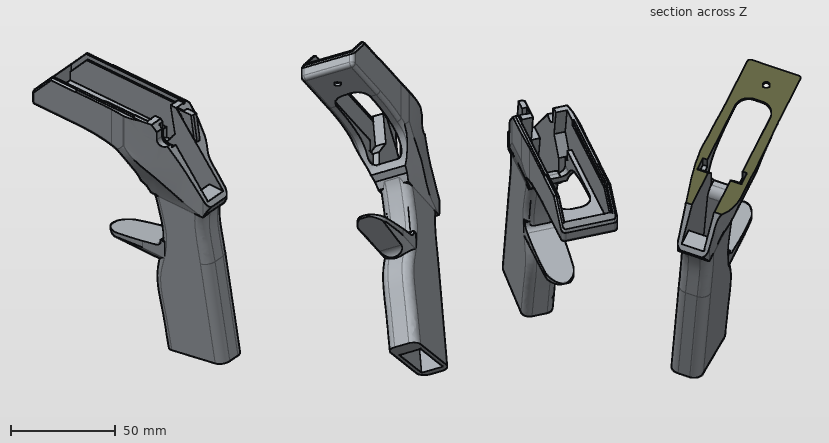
import cadquery as cq
import math

FAR = 200.0
GRIP_LEAN = math.radians(10)

TRAY_HALF_WIDTH = 14.2
TRAY_HEIGHT = 20.6
TRAY_END_X = 50.0
TRAY_NOSE_HEIGHT = 7.2
TRAY_SLOPE_END_X = 12.0
TRAY_EDGE_FILLET = 2.0
RIM_CHAMFER = 1.0
WALL = 3.0
CAVITY_HALF_WIDTH = 11.3
FLOOR_THICKNESS = 1.6
FLOOR_Z = FLOOR_THICKNESS - TRAY_HEIGHT
RABBET_WIDTH = 0.9
RABBET_DEPTH = 2.7
RABBET_END_X = 62.5
SCREW_HOLE_DIAMETER = 3.3
SCREW_HOLE_X = 11.5

SHOULDER_HALF_WIDTH = 28.99 / 2
SHOULDER_START_X = 27.8
SHOULDER_TAPER_Z = -18.0
SHOULDER_BOTTOM_Z = -44.0
SHOULDER_BOTTOM_FRONT_X = 69.7
SHOULDER_BOTTOM_REAR_X = 101.7
BULGE_START_X = 61.8
BULGE_END_X = 76.1
BACK_CORNER_X = 101.6
BACK_CORNER_MIDDLE = (104.3, 6.9)
BACK_CORNER_HALF_WIDTH = 7.9
BACK_END_HALF_WIDTH = 4.5
BACK_TOP_X = 73.7
BACK_END_X = 105.1
BACK_END_Z = -37.6
BACK_SLOPE = BACK_END_Z / (BACK_END_X - BACK_TOP_X)

GRIP_HALF_WIDTH = 8.0
GRIP_TOP_FRONT_X = 67.3
GRIP_TOP_Z = -40.6
GRIP_WAIST = (105.1, -70.7)
GRIP_TOE = (78.3, -130.99)
GRIP_HEEL = (114.36, -124.9)
GRIP_FRONT_FILLET = 4.2
GRIP_REAR_FILLET = 5.0
REST_TIP_X = 38.8
REST_TIP_Z = -80.0
REST_TIP_HEIGHT = 0.8
REST_ROOT_X = 78.0
REST_TOP_FILLET_START = (72.2, -73)
REST_TOP_FILLET_END = (75.4, -69)
REST_BOTTOM_FILLET_START = (71.2, -90)
REST_BOTTOM_FILLET_END = (66.3, -82)
REST_FULL_WIDTH_X = 64.0
REST_BELLY_TOP = 78.5
REST_BELLY_BOTTOM = 84.5

THROAT_HALF_WIDTH = 9.0
FLOOR_SLOT_X = 21.4
FLOOR_SLOT_FILLET = 7.0
FLOOR_END_X = 63.0
BLOCK_TOP_X = 70.2
BLOCK_BOTTOM_Z = -15.6
BLOCK_BOTTOM_X = BLOCK_TOP_X - BLOCK_BOTTOM_Z * math.tan(GRIP_LEAN)
SIDE_POCKET_Z = -25.0
THROAT_FILLET = 4.0
SILL_X = 66.0
SILL_Z = -34.4
CHANNEL_HALF_WIDTH = 5.7
CHANNEL_FRONT = (71.0, -38.0)
STEP_X = 94.4
STEP_Z = -35.2

NOTCH_X = 79.7
NOTCH_Z = -7.6
NOTCH_RADIUS = 3.2
NOTCH_RECESS_RADIUS = 4.8
NOTCH_RECESS_DEPTH = 2.5

PLATE_REAR_X = 83.8
PLATE_REAR_LEAN = 0.15
PLATE_WEB_THICKNESS = 0.6
PLATE_THICKNESS = 3.0
PLATE_STEP_X = 78.1
PLATE_CHAMFER = 0.9


def back_z(x):
    """Height of the sloped back face at x."""
    return BACK_SLOPE * (x - BACK_TOP_X)


def along_y(sketch, y_from, y_to):
    """Solid of a closed XZ sketch between two Y positions."""
    return sketch.extrude(y_from - y_to).translate((0, y_from, 0))


def both_sides(sketch, half_width):
    return along_y(sketch, -half_width, half_width)


def xz():
    return cq.Workplane("XZ")


def make_tray():
    profile = (
        xz()
        .moveTo(0, -TRAY_HEIGHT)
        .lineTo(0, TRAY_NOSE_HEIGHT - TRAY_HEIGHT)
        .lineTo(TRAY_SLOPE_END_X, 0)
        .lineTo(TRAY_END_X, 0)
        .lineTo(TRAY_END_X, -TRAY_HEIGHT)
        .close()
    )
    tray = both_sides(profile, TRAY_HALF_WIDTH)
    tray = tray.edges("<X and |Z").fillet(TRAY_EDGE_FILLET)
    tray = tray.faces("<Z").edges("not(>X)").fillet(TRAY_EDGE_FILLET)
    slope = cq.Vector(TRAY_SLOPE_END_X, 0, TRAY_HEIGHT - TRAY_NOSE_HEIGHT)
    slope_edges = cq.selectors.ParallelDirSelector(slope)
    top_edges = cq.selectors.BoxSelector(
        (TRAY_SLOPE_END_X + 1, -FAR, -0.1), (TRAY_END_X - 1, FAR, 0.1)
    )
    nose_z = TRAY_NOSE_HEIGHT - TRAY_HEIGHT
    nose_edge = cq.selectors.BoxSelector(
        (-0.1, -0.1, nose_z - 0.1), (0.1, 0.1, nose_z + 0.1)
    )
    return tray.edges(slope_edges + top_edges + nose_edge).chamfer(RIM_CHAMFER)


def make_shoulder():
    side_outline = (
        xz()
        .moveTo(SHOULDER_START_X, 0)
        .lineTo(SHOULDER_START_X, -TRAY_HEIGHT)
        .spline([(48, -22.5), (56.4, -25.8), (62.3, -33.2), (64.1, -38.5)],
                tangents=[(1, 0), (0.1, -1)], includeCurrent=True)
        .lineTo(GRIP_TOP_FRONT_X, GRIP_TOP_Z)
        .lineTo(SHOULDER_BOTTOM_FRONT_X, SHOULDER_BOTTOM_Z)
        .lineTo(SHOULDER_BOTTOM_REAR_X, SHOULDER_BOTTOM_Z)
        .lineTo(BACK_END_X, BACK_END_Z)
        .lineTo(BACK_TOP_X, 0)
        .close()
    )
    front_outline = (
        cq.Workplane("YZ")
        .moveTo(RIM_CHAMFER - SHOULDER_HALF_WIDTH, 0)
        .lineTo(SHOULDER_HALF_WIDTH - RIM_CHAMFER, 0)
        .lineTo(SHOULDER_HALF_WIDTH, -RIM_CHAMFER)
        .lineTo(SHOULDER_HALF_WIDTH, SHOULDER_TAPER_Z)
        .spline([(13.6, -26), (10.5, -34.8), (GRIP_HALF_WIDTH, SHOULDER_BOTTOM_Z)],
                tangents=[(0, -1), (-0.15, -1)], includeCurrent=True)
        .lineTo(-GRIP_HALF_WIDTH, SHOULDER_BOTTOM_Z)
        .spline([(-10.5, -34.8), (-13.6, -26), (-SHOULDER_HALF_WIDTH, SHOULDER_TAPER_Z)],
                tangents=[(-0.15, 1), (0, 1)], includeCurrent=True)
        .lineTo(-SHOULDER_HALF_WIDTH, -RIM_CHAMFER)
        .close()
        .extrude(FAR)
    )
    corner_x, corner_y = BACK_CORNER_MIDDLE
    plan_outline = (
        cq.Workplane("XY")
        .moveTo(SHOULDER_START_X, -TRAY_HALF_WIDTH)
        .lineTo(TRAY_END_X, -TRAY_HALF_WIDTH)
        .spline([(57.5, -SHOULDER_HALF_WIDTH), (67.4, -13.6), (76.1, -12.1), (82.5, -10.5),
                 (90.4, -8.9), (BACK_CORNER_X, -BACK_CORNER_HALF_WIDTH)],
                tangents=[(1, 0), (1, 0.1)], includeCurrent=True)
        .threePointArc((corner_x, -corner_y), (BACK_END_X, -BACK_END_HALF_WIDTH))
        .lineTo(BACK_END_X, BACK_END_HALF_WIDTH)
        .threePointArc(BACK_CORNER_MIDDLE, (BACK_CORNER_X, BACK_CORNER_HALF_WIDTH))
        .spline([(98.3, 8.1), (91.5, 8.7), (87.2, 11.9), (83.3, 13.4), (BULGE_END_X, SHOULDER_HALF_WIDTH)],
                tangents=[(-1, 0.1), (-1, 0)], includeCurrent=True)
        .lineTo(BULGE_START_X, SHOULDER_HALF_WIDTH)
        .spline([(TRAY_END_X, TRAY_HALF_WIDTH)], tangents=[(-1, 0), (-1, 0)], includeCurrent=True)
        .lineTo(SHOULDER_START_X, TRAY_HALF_WIDTH)
        .close()
        .extrude(-FAR)
    )
    side = both_sides(side_outline, SHOULDER_HALF_WIDTH + 1)
    shoulder = side.intersect(plan_outline)
    lower_edges = cq.selectors.BoxSelector(
        (SHOULDER_START_X, -FAR, BACK_END_Z), (SILL_X, FAR, -TRAY_HEIGHT + 0.1)
    )
    shoulder = shoulder.edges(lower_edges - cq.StringSyntaxSelector("|Y")).fillet(TRAY_EDGE_FILLET)
    return shoulder.intersect(front_outline)


def make_grip():
    profile = (
        xz()
        .moveTo(GRIP_TOP_FRONT_X, GRIP_TOP_Z)
        .spline([(72.2, -53), (75.0, -67), (73.5, -78), (71.2, -90), (74.2, -110.2), GRIP_TOE],
                tangents=[(0.6, -0.8), (0.2, -1)], includeCurrent=True)
        .lineTo(*GRIP_HEEL)
        .lineTo(*GRIP_WAIST)
        .spline([(101.6, -51), (BACK_END_X, BACK_END_Z)],
                tangents=[(-math.sin(GRIP_LEAN), math.cos(GRIP_LEAN)), (0.75, 0.66)],
                includeCurrent=True)
        .close()
    )
    grip = both_sides(profile, GRIP_HALF_WIDTH)
    front_edges = cq.selectors.BoxSelector(
        (GRIP_TOP_FRONT_X, -FAR, GRIP_TOE[1] + 5), (GRIP_TOE[0] + 5, FAR, GRIP_TOP_Z - 5)
    )
    rear_edges = cq.selectors.BoxSelector(
        (SHOULDER_BOTTOM_REAR_X - 5, -FAR, GRIP_HEEL[1] + 5), (GRIP_HEEL[0], FAR, BACK_END_Z - 1)
    )
    grip = grip.edges(front_edges).fillet(GRIP_FRONT_FILLET)
    return grip.edges(rear_edges).fillet(GRIP_REAR_FILLET)


def make_finger_rest():
    tip_run = REST_TIP_HEIGHT
    profile = (
        xz()
        .moveTo(REST_TIP_X + tip_run, REST_TIP_Z - REST_TIP_HEIGHT)
        .lineTo(REST_TIP_X, REST_TIP_Z)
        .lineTo(REST_TIP_X + tip_run, REST_TIP_Z + tip_run / 2)
        .lineTo(*REST_TOP_FILLET_START)
        .threePointArc((74.6, -71.8), REST_TOP_FILLET_END)
        .lineTo(REST_ROOT_X, REST_TOP_FILLET_END[1])
        .lineTo(REST_ROOT_X, REST_BOTTOM_FILLET_START[1])
        .lineTo(*REST_BOTTOM_FILLET_START)
        .threePointArc((69.8, -83.4), REST_BOTTOM_FILLET_END)
        .close()
    )
    plan = (
        cq.Workplane("XY")
        .moveTo(REST_ROOT_X, -GRIP_HALF_WIDTH)
        .lineTo(REST_FULL_WIDTH_X, -GRIP_HALF_WIDTH)
        .spline([(51, -7.4), (44.5, -6.3), (REST_TIP_X, 0), (44.5, 6.3), (51, 7.4),
                 (REST_FULL_WIDTH_X, GRIP_HALF_WIDTH)],
                tangents=[(-1, 0), (1, 0)], includeCurrent=True)
        .lineTo(REST_ROOT_X, GRIP_HALF_WIDTH)
        .close()
        .extrude(-FAR)
    )
    belly = (
        cq.Workplane("YZ")
        .moveTo(-GRIP_HALF_WIDTH, -REST_BELLY_TOP)
        .threePointArc((0, -REST_BELLY_BOTTOM), (GRIP_HALF_WIDTH, -REST_BELLY_TOP))
        .lineTo(GRIP_HALF_WIDTH, 0)
        .lineTo(-GRIP_HALF_WIDTH, 0)
        .close()
        .extrude(FAR)
    )
    return both_sides(profile, GRIP_HALF_WIDTH).intersect(plan).intersect(belly)


def tray_cavity():
    """Open space between the tray walls, with a deeper pocket in front of the guide blocks."""
    profile = (
        xz()
        .moveTo(WALL, 1)
        .lineTo(WALL, FLOOR_Z)
        .lineTo(FLOOR_END_X, FLOOR_Z)
        .lineTo(FLOOR_END_X, SIDE_POCKET_Z)
        .lineTo(SILL_X, SIDE_POCKET_Z)
        .lineTo(BLOCK_BOTTOM_X, BLOCK_BOTTOM_Z)
        .lineTo(BLOCK_TOP_X, 0)
        .lineTo(BLOCK_TOP_X, 1)
        .close()
    )
    return both_sides(profile, CAVITY_HALF_WIDTH)


def rim_rabbet(y_from, y_to, end_x):
    """Step along the inner edge of one tray wall, following the nose slope and the top."""
    slope_run = TRAY_SLOPE_END_X / (TRAY_HEIGHT - TRAY_NOSE_HEIGHT)
    shift = RABBET_DEPTH * (math.hypot(slope_run, 1) - slope_run)
    bend_x = TRAY_SLOPE_END_X + shift
    profile = (
        xz()
        .moveTo(WALL, -RABBET_DEPTH - (bend_x - WALL) / slope_run)
        .lineTo(bend_x, -RABBET_DEPTH)
        .lineTo(end_x, -RABBET_DEPTH)
        .lineTo(end_x, 1)
        .lineTo(WALL, 1)
        .close()
    )
    return along_y(profile, y_from, y_to)


def floor_throat():
    """Slot through the tray floor that runs on down the throat to the sill."""
    profile = (
        xz()
        .moveTo(FLOOR_SLOT_X, BLOCK_BOTTOM_Z)
        .lineTo(FLOOR_SLOT_X, SILL_Z)
        .lineTo(SILL_X, SILL_Z)
        .lineTo(SILL_X, SIDE_POCKET_Z)
        .lineTo(BLOCK_BOTTOM_X, BLOCK_BOTTOM_Z)
        .close()
    )
    slot = both_sides(profile, THROAT_HALF_WIDTH)
    slot = slot.edges("<X and |Z").fillet(FLOOR_SLOT_FILLET)
    return slot.faces("<Z").edges("|X").fillet(THROAT_FILLET)


def grip_channel():
    """Leaning channel from the open back down through the grip."""
    exit_z = GRIP_TOE[1] - 5
    front_x, front_z = CHANNEL_FRONT
    lean = math.tan(GRIP_LEAN)
    profile = (
        xz()
        .moveTo(FLOOR_END_X - 5, 1)
        .lineTo(FLOOR_END_X - 5, SILL_Z)
        .lineTo(SILL_X, SILL_Z)
        .threePointArc((SILL_X + 3.2, SILL_Z - 1.0), CHANNEL_FRONT)
        .lineTo(front_x + (front_z - exit_z) * lean, exit_z)
        .lineTo(STEP_X + (STEP_Z - exit_z) * lean, exit_z)
        .lineTo(STEP_X, STEP_Z)
        .lineTo(BACK_END_X, STEP_Z)
        .lineTo(BACK_END_X, 1)
        .close()
    )
    return both_sides(profile, CHANNEL_HALF_WIDTH)


def upright_slot(radius, y_from, y_to):
    """Slot open at the top with a round bottom at the pivot."""
    profile = (
        xz()
        .moveTo(NOTCH_X - radius, 1)
        .lineTo(NOTCH_X - radius, NOTCH_Z)
        .threePointArc((NOTCH_X, NOTCH_Z - radius), (NOTCH_X + radius, NOTCH_Z))
        .lineTo(NOTCH_X + radius, 1)
        .close()
    )
    return along_y(profile, y_from, y_to)


def make_frame():
    frame = make_tray().union(make_shoulder()).union(make_grip()).union(make_finger_rest())
    rabbet_y = CAVITY_HALF_WIDTH + RABBET_WIDTH
    recess_y = CHANNEL_HALF_WIDTH + NOTCH_RECESS_DEPTH
    screw_hole = (
        cq.Workplane("XY").center(SCREW_HOLE_X, 0).circle(SCREW_HOLE_DIAMETER / 2).extrude(-TRAY_HEIGHT)
    )
    openings = [
        tray_cavity(),
        rim_rabbet(CAVITY_HALF_WIDTH, rabbet_y, BACK_TOP_X),
        rim_rabbet(-rabbet_y, -CAVITY_HALF_WIDTH, RABBET_END_X),
        floor_throat(),
        grip_channel(),
        screw_hole,
        upright_slot(NOTCH_RADIUS, -SHOULDER_HALF_WIDTH, 0),
        upright_slot(NOTCH_RECESS_RADIUS, -recess_y, 0),
    ]
    for opening in openings:
        frame = frame.cut(opening)
    return frame


def make_side_plate():
    """Upright plate on the sloped back face: a thin web that steps out to a thicker tab."""
    inner_y = CHANNEL_HALF_WIDTH
    foot_x = BACK_TOP_X + (PLATE_REAR_X - BACK_TOP_X) / (1 + PLATE_REAR_LEAN * BACK_SLOPE)
    side_outline = (
        xz()
        .moveTo(BACK_TOP_X, 0)
        .lineTo(PLATE_REAR_X, 0)
        .lineTo(foot_x, back_z(foot_x))
        .close()
    )
    plate = along_y(side_outline, inner_y, inner_y + PLATE_THICKNESS)
    step = (
        cq.Workplane("XY")
        .box(PLATE_STEP_X, PLATE_THICKNESS, FAR, centered=(False, False, True))
        .translate((0, inner_y + PLATE_WEB_THICKNESS, 0))
    )
    plate = plate.cut(step)
    rear_inner_edge = cq.selectors.BoxSelector((PLATE_REAR_X, inner_y - 0.1, -10), (FAR, inner_y + 0.1, -1))
    return plate.edges(rear_inner_edge).chamfer(PLATE_CHAMFER)


frame = make_frame()
side_plate = make_side_plate()
result = cq.Compound.makeCompound([frame.val(), side_plate.val()])